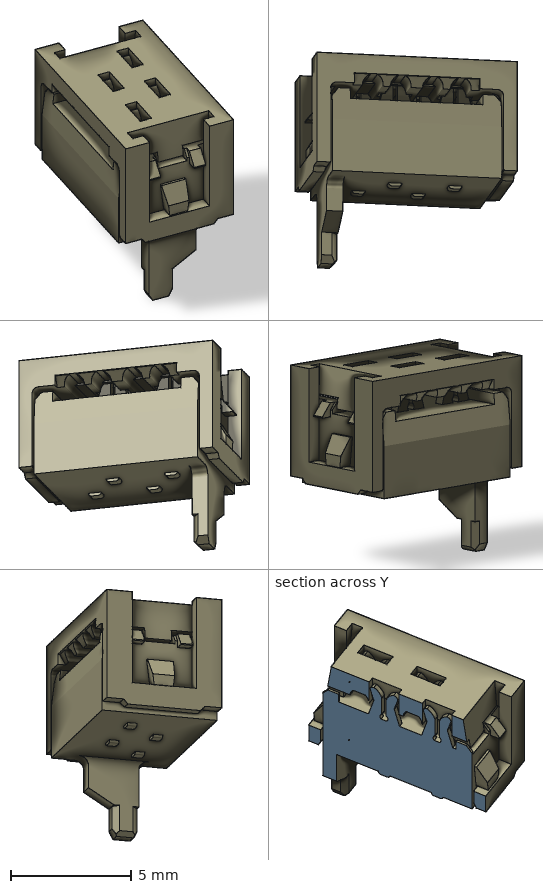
import cadquery as cq
import math


base_length = 7.14
base_width = 5.0
base_deck_z = 3.16
horn_top_z = 3.61
horn_inner_x = 2.80
horn_inner_y = 0.67
horn_chamfer_x = 0.26
horn_chamfer_z = 0.31
wall_bend_z = 2.21
wall_lean = 0.17

cover_length = 8.46
cover_width = 5.0
cover_top_z = 5.05
cover_bottom_z = 0.15
cavity_half_x = 3.65
ceiling_z = 3.81
cavity_corner_radius = 0.27
leg_chamfer_x = 0.12
leg_chamfer_z = 0.25
leg_corner_height = 0.205
leg_corner_inner_y = 1.59
leg_corner_outer_y = 1.77
window_half_y = 1.39
window_bottom_z = 1.10
end_slot_top_x = 3.16
end_slot_ceiling_x = 3.335
end_slot_top_y = 1.88
end_slot_ceiling_y = 1.73
tab_bottom_z = 3.35
tab_half_y = 0.58
tab_inner_x = 2.66
mouth_half_x = 2.66
mouth_top_z = 4.24
mouth_shelf_y = 0.09
mouth_slope_y = 0.25
wire_half_width = 0.43
wire_edge_radius = 0.05
wire_arch_rise = 0.455
wire_offset_front_row = -0.09
wire_rib_z = 4.16
wire_rib_half_y = 1.20

contact_count = 4
contact_pitch = 1.27
contact_row_y = 0.755
contact_thickness = 0.41
contact_slot_length = 1.39
contact_slot_width = 0.52
shoulder_half = 0.75
waist_half = 0.50
waist_z = 4.05
tip_half = 0.675
tip_side_z = 4.65
tip_crown_x = 0.615
tip_crown_z = 4.77
tip_peak_x = 0.475
tip_peak_z = 4.84
tip_bulge_x = 0.20
tip_bulge_z = 4.62
tine_gap = 0.19
tine_gap_top_z = 4.40
tine_hole_radius = 0.18
tine_hole_z = 3.28
foot_half = 0.28
foot_depth = 0.13

latch_top_z = 2.35
latch_shelf_x = 3.68
latch_nose_x = 4.15
latch_nose_z = 1.59
latch_top_half_y = 0.565
latch_bottom_half_y = 0.415
catch_nose_x = 4.03
catch_nose_z = 3.06
catch_bottom_z = 3.01
catch_width = 0.53
catch_y = 1.045

peg_thickness = 0.69
peg_half_y = 1.10
peg_root_radius = 0.40
peg_taper_start_z = -1.36
pin_top_z = -2.0
overall_height = 8.35
peg_bottom_z = cover_top_z - overall_height
pin_edge_chamfer = 0.26
pin_tip_chamfer_x = 0.20
pin_tip_chamfer_y = 0.18
pin_tip_height_y = 0.33


def box(x0, x1, y0, y1, z0, z1):
    return cq.Workplane("XY").box(x1 - x0, y1 - y0, z1 - z0, centered=False).translate((x0, y0, z0))


def prism_along_y(outline, y0, y1):
    """Extrude a closed XZ polygon from y0 to y1."""
    return cq.Workplane("XZ", origin=(0, y0, 0)).polyline(outline).close().extrude(y0 - y1)


def prism_along_x(outline, x0, x1):
    """Extrude a closed YZ polygon from x0 to x1."""
    return cq.Workplane("YZ", origin=(x0, 0, 0)).polyline(outline).close().extrude(x1 - x0)


def with_x_mirror(shape):
    return shape.union(shape.mirror("YZ"))


def with_y_mirror(shape):
    return shape.union(shape.mirror("XZ"))


def contact_places():
    """The contacts alternate between the +Y and -Y rows."""
    for index in range(contact_count):
        side = 1 if index % 2 == 0 else -1
        yield (index - (contact_count - 1) / 2) * contact_pitch, side * contact_row_y


def make_base():
    half_x = base_length / 2
    half_y = base_width / 2
    profile = [
        (-half_y, 0),
        (half_y, 0),
        (half_y, wall_bend_z),
        (half_y - wall_lean, horn_top_z),
        (-half_y + wall_lean, horn_top_z),
        (-half_y, wall_bend_z),
    ]
    base = prism_along_x(profile, -half_x, half_x)
    base = base.cut(box(-horn_inner_x, horn_inner_x, -half_y, half_y, base_deck_z, horn_top_z))
    base = base.cut(box(-half_x, half_x, -horn_inner_y, horn_inner_y, base_deck_z, horn_top_z))
    corner = [
        (half_x, horn_top_z),
        (half_x, horn_top_z - horn_chamfer_z),
        (half_x - horn_chamfer_x, horn_top_z),
    ]
    return base.cut(with_x_mirror(prism_along_y(corner, -half_y, half_y)))


def make_latch():
    """Wedge on the base end, narrowing downward and seated on the cover window sill."""
    root_x = base_length / 2
    side = [
        (root_x, window_bottom_z),
        (latch_nose_x, window_bottom_z),
        (latch_nose_x, latch_nose_z),
        (latch_shelf_x, latch_top_z),
        (root_x, latch_top_z),
    ]
    taper = [
        (-latch_bottom_half_y, window_bottom_z),
        (latch_bottom_half_y, window_bottom_z),
        (latch_top_half_y, latch_top_z),
        (-latch_top_half_y, latch_top_z),
    ]
    wedge = prism_along_y(side, -latch_top_half_y, latch_top_half_y)
    return with_x_mirror(wedge.intersect(prism_along_x(taper, root_x, latch_nose_x)))


def make_catches():
    """Small wedges on the outer ends of the four horns."""
    root_x = base_length / 2
    flat_x = root_x - horn_chamfer_x
    outline = [
        (flat_x, catch_bottom_z),
        (catch_nose_x, catch_bottom_z),
        (catch_nose_x, catch_nose_z),
        (root_x, horn_top_z),
        (flat_x, horn_top_z),
    ]
    catch = prism_along_y(outline, catch_y - catch_width / 2, catch_y + catch_width / 2)
    return with_x_mirror(with_y_mirror(catch))


def make_contact():
    """Forked blade centred on X = Y = 0, with a rounded foot below the base."""
    half_t = contact_thickness / 2
    blade = (
        cq.Workplane("XZ")
        .moveTo(0, 0)
        .lineTo(shoulder_half, 0)
        .lineTo(shoulder_half, base_deck_z)
        .lineTo(waist_half, waist_z)
        .lineTo(tip_half, tip_side_z)
        .threePointArc((tip_crown_x, tip_crown_z), (tip_peak_x, tip_peak_z))
        .threePointArc((tip_bulge_x, tip_bulge_z), (tine_gap / 2, tine_gap_top_z))
        .lineTo(0, tine_gap_top_z)
        .close()
        .extrude(half_t, both=True)
    )
    blade = with_x_mirror(blade)
    gap = box(-tine_gap / 2, tine_gap / 2, -half_t, half_t, tine_hole_z, tip_peak_z)
    hole = (
        cq.Workplane("XZ")
        .center(0, tine_hole_z)
        .circle(tine_hole_radius)
        .extrude(half_t, both=True)
    )
    foot = box(-foot_half, foot_half, -half_t, half_t, -foot_depth, foot_depth)
    foot = foot.edges("|Y and <Z").fillet(foot_depth)
    return blade.cut(gap).cut(hole).union(foot)


def make_peg():
    """Flat peg under the +X end, stepping down to a chamfered pin."""
    x1 = base_length / 2
    x0 = x1 - peg_thickness
    r = peg_root_radius
    mid = r * (1 - math.sqrt(0.5))
    peg = (
        cq.Workplane("YZ", origin=(x0, 0, 0))
        .moveTo(-peg_half_y - r, 0)
        .threePointArc((-peg_half_y - mid, -mid), (-peg_half_y, -r))
        .lineTo(-peg_half_y, peg_bottom_z + pin_tip_height_y)
        .lineTo(-peg_half_y + pin_tip_chamfer_y, peg_bottom_z)
        .lineTo(-pin_tip_chamfer_y, peg_bottom_z)
        .lineTo(0, peg_bottom_z + pin_tip_height_y)
        .lineTo(0, pin_top_z)
        .lineTo(peg_half_y, peg_taper_start_z)
        .lineTo(peg_half_y, -r)
        .threePointArc((peg_half_y + mid, -mid), (peg_half_y + r, 0))
        .close()
        .extrude(peg_thickness)
    )
    tip_edge = [
        (x0, peg_bottom_z),
        (x0 + pin_tip_chamfer_x, peg_bottom_z),
        (x0, peg_bottom_z + pin_tip_chamfer_x),
    ]
    peg = peg.cut(prism_along_y(tip_edge, -peg_half_y, 0))
    for edge_y, inward in ((0, -1), (-peg_half_y, 1)):
        edge = (
            cq.Workplane("XY", origin=(0, 0, peg_bottom_z))
            .polyline([
                (x0, edge_y),
                (x0 + pin_edge_chamfer, edge_y),
                (x0, edge_y + inward * pin_edge_chamfer),
            ])
            .close()
            .extrude(pin_top_z - peg_bottom_z)
        )
        peg = peg.cut(edge)
    return peg


def make_cover_shell():
    """Bridge: a thick top plate with a leg wall at each end."""
    half_x = cover_length / 2
    half_y = cover_width / 2
    shell = box(-half_x, half_x, -half_y, half_y, cover_bottom_z, cover_top_z)
    cavity = box(-cavity_half_x, cavity_half_x, -half_y, half_y, cover_bottom_z, ceiling_z)
    shell = shell.cut(cavity.edges("|Y and >Z").fillet(cavity_corner_radius))
    lead_in = [
        (cavity_half_x, cover_bottom_z),
        (cavity_half_x + leg_chamfer_x, cover_bottom_z),
        (cavity_half_x, cover_bottom_z + leg_chamfer_z),
    ]
    shell = shell.cut(with_x_mirror(prism_along_y(lead_in, -half_y, half_y)))
    corner_z = cover_bottom_z + leg_corner_height
    corner = [
        (leg_corner_inner_y, cover_bottom_z),
        (leg_corner_outer_y, corner_z),
        (half_y, corner_z),
        (half_y, cover_bottom_z),
    ]
    return shell.cut(with_y_mirror(prism_along_x(corner, -half_x, half_x)))


def cut_end_openings(shell):
    """Open each leg with a window and split it from the top plate with a tapered slot."""
    half_x = cover_length / 2
    window = box(cavity_half_x, half_x, -window_half_y, window_half_y, window_bottom_z, cover_top_z)
    lean = (end_slot_ceiling_x - end_slot_top_x) / (cover_top_z - ceiling_z)
    tab_outer_x = end_slot_ceiling_x + lean * (ceiling_z - tab_bottom_z)
    floor_z = ceiling_z - cavity_corner_radius
    floor_x = end_slot_ceiling_x + lean * (ceiling_z - floor_z)
    slot_profile = [
        (end_slot_top_x, cover_top_z),
        (cavity_half_x, cover_top_z),
        (cavity_half_x, floor_z),
        (floor_x, floor_z),
    ]
    slot = prism_along_y(slot_profile, -end_slot_top_y, end_slot_top_y)
    slot_width = [
        (-end_slot_top_y, cover_top_z),
        (end_slot_top_y, cover_top_z),
        (end_slot_ceiling_y, ceiling_z),
        (end_slot_ceiling_y, floor_z),
        (-end_slot_ceiling_y, floor_z),
        (-end_slot_ceiling_y, ceiling_z),
    ]
    slot = slot.intersect(prism_along_x(slot_width, end_slot_top_x, cavity_half_x))
    tab_profile = [
        (tab_inner_x, tab_bottom_z),
        (tab_outer_x, tab_bottom_z),
        (end_slot_ceiling_x, ceiling_z),
        (tab_inner_x, ceiling_z),
    ]
    tab = prism_along_y(tab_profile, -tab_half_y, tab_half_y)
    return shell.cut(with_x_mirror(window.union(slot))).union(with_x_mirror(tab))


def make_wire_channel():
    """Arched groove along Y, centred on X = 0, with rounded lower edges."""
    r = wire_half_width
    e = wire_edge_radius
    mid = e * (1 - math.sqrt(0.5))
    return (
        cq.Workplane("XZ", origin=(0, 0, ceiling_z))
        .moveTo(-r - e, 0)
        .threePointArc((-r - mid, mid), (-r, e))
        .threePointArc((0, wire_arch_rise), (r, e))
        .threePointArc((r + mid, mid), (r + e, 0))
        .close()
        .extrude(cover_width / 2, both=True)
    )


def cut_wire_channels(shell):
    """Flare the cable mouths and groove the ceiling over each wire."""
    half_y = cover_width / 2
    shelf_y = half_y - mouth_shelf_y
    mouth = [
        (half_y, ceiling_z),
        (half_y, mouth_top_z),
        (shelf_y, mouth_top_z),
        (shelf_y - mouth_slope_y, ceiling_z),
    ]
    shell = shell.cut(with_y_mirror(prism_along_x(mouth, -mouth_half_x, mouth_half_x)))
    rib = box(-mouth_half_x, mouth_half_x, -wire_rib_half_y, wire_rib_half_y, wire_rib_z, cover_top_z)
    below_mouth_top = box(-mouth_half_x, mouth_half_x, -half_y, half_y, ceiling_z, mouth_top_z)
    channel = make_wire_channel().intersect(below_mouth_top).cut(rib)
    for x, y in contact_places():
        offset = wire_offset_front_row if y < 0 else 0
        shell = shell.cut(channel.translate((x + offset, 0, 0)))
    return shell


def cut_contact_slots(shell):
    """Through slots in the top plate over each contact."""
    for x, y in contact_places():
        slot = (
            cq.Workplane("XY", origin=(x, y, ceiling_z))
            .rect(contact_slot_length, contact_slot_width)
            .extrude(cover_top_z - ceiling_z)
        )
        shell = shell.cut(slot)
    return shell


cover = cut_contact_slots(cut_wire_channels(cut_end_openings(make_cover_shell())))

result = make_base().union(make_latch()).union(make_catches()).union(make_peg())
contact = make_contact()
for contact_x, contact_y in contact_places():
    result = result.union(contact.translate((contact_x, contact_y, 0)))
result = result.union(cover)